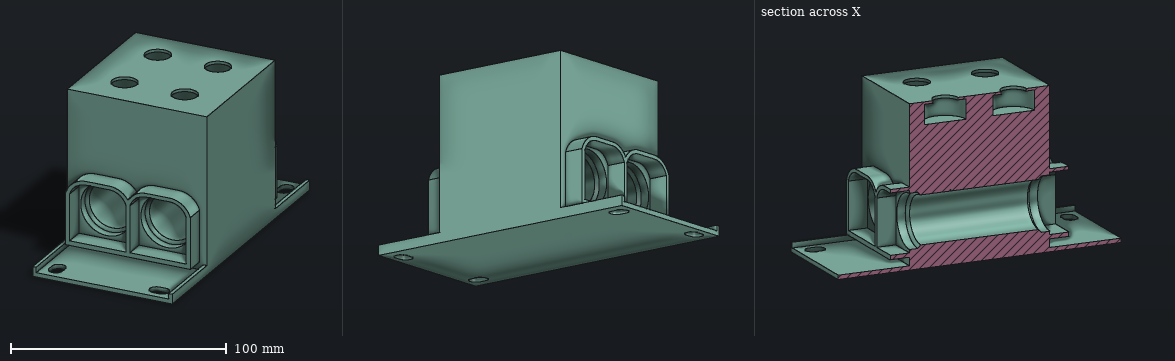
import cadquery as cq
import math

plate_width = 72.0
plate_length = 145.0
floor_thickness = 2.3
rail_width = 1.9
rail_height = 5.1

total_height = 80.5
block_length = plate_width

port_pitch = 31.0
port_axis_height = 23.6
collar_projection = 9.7
collar_width = 33.5
collar_bottom = 6.2
collar_top = 40.3
flat_top_width = 11.9
collar_shoulder_drop = 7.8
pocket_width = 29.0
pocket_bottom = 8.5
pocket_top = 38.4
pocket_shoulder_drop = 6.1

bore_diameter = 23.9
mouth_diameter = 27.0
mouth_depth = 4.4
taper_length = (mouth_diameter - bore_diameter) / 2

screw_hole_diameter = 12.6
lip_thickness = 1.5
chamber_diameter = 21.0
chamber_floor_depth = 11.0
screw_row_spacing = 35.0

slot_length = 9.9
slot_width = 6.8
slot_edge_x = 30.9
slot_edge_y = 68.9

block_end = block_length / 2
collar_end = block_end + collar_projection
port_positions = (-port_pitch / 2, port_pitch / 2)


def hood_prism(center_x, width, bottom, top, shoulder_drop, half_length):
    """Prism along Y: flat bottom, upright sides, flat top with arc shoulders tangent to the top."""
    half = width / 2
    flat = flat_top_width / 2
    run = half - flat
    radius = (run**2 + shoulder_drop**2) / (2 * shoulder_drop)
    mid_angle = math.atan2(shoulder_drop, run)
    mid_x = flat + radius * math.sin(mid_angle)
    mid_z = top - radius * (1 - math.cos(mid_angle))
    return (
        cq.Workplane("XZ")
        .moveTo(center_x - half, bottom)
        .lineTo(center_x + half, bottom)
        .lineTo(center_x + half, top - shoulder_drop)
        .threePointArc((center_x + mid_x, mid_z), (center_x + flat, top))
        .lineTo(center_x - flat, top)
        .threePointArc((center_x - mid_x, mid_z), (center_x - half, top - shoulder_drop))
        .close()
        .extrude(half_length, both=True)
    )


def base_plate():
    channel_width = plate_width - 2 * rail_width
    plate = cq.Workplane("XY").box(plate_width, plate_length, rail_height, centered=(True, True, False))
    channel = (
        cq.Workplane("XY", origin=(0, 0, floor_thickness))
        .rect(channel_width, plate_length)
        .extrude(rail_height)
    )
    return plate.cut(channel)


def collar(center_x):
    return hood_prism(
        center_x, collar_width, collar_bottom, collar_top, collar_shoulder_drop, collar_end
    )


def pockets(center_x):
    """The hollow inside the collars at both ends, stopping at the block faces."""
    hollow = hood_prism(
        center_x, pocket_width, pocket_bottom, pocket_top, pocket_shoulder_drop, collar_end
    )
    core = cq.Workplane("XY").box(plate_width, block_length, total_height, centered=(True, True, False))
    return hollow.cut(core)


def bore(center_x):
    """Through bore with a counterbored and tapered mouth at each end, revolved about its own axis."""
    bore_radius = bore_diameter / 2
    mouth_radius = mouth_diameter / 2
    mouth_end = block_end - mouth_depth
    taper_end = mouth_end - taper_length
    return (
        cq.Workplane("XY", origin=(center_x, 0, port_axis_height))
        .moveTo(0, -block_end)
        .lineTo(mouth_radius, -block_end)
        .lineTo(mouth_radius, -mouth_end)
        .lineTo(bore_radius, -taper_end)
        .lineTo(bore_radius, taper_end)
        .lineTo(mouth_radius, mouth_end)
        .lineTo(mouth_radius, block_end)
        .lineTo(0, block_end)
        .close()
        .revolve(360, (0, 0, 0), (0, 1, 0))
    )


def discs_below(height, diameter, depth):
    """One cylinder per screw position, reaching down from the given height."""
    return (
        cq.Workplane("XY", origin=(0, 0, height))
        .rarray(port_pitch, screw_row_spacing, 2, 2)
        .circle(diameter / 2)
        .extrude(-depth)
    )


def screw_holes():
    openings = discs_below(total_height, screw_hole_diameter, chamber_floor_depth)
    chambers = discs_below(
        total_height - lip_thickness, chamber_diameter, chamber_floor_depth - lip_thickness
    )
    return openings.union(chambers)


def mounting_slot(side_x, side_y):
    """Slots on one diagonal lie along X, those on the other diagonal along Y."""
    along_x = side_x != side_y
    size_x, size_y = (slot_length, slot_width) if along_x else (slot_width, slot_length)
    center = (side_x * (slot_edge_x - size_x / 2), side_y * (slot_edge_y - size_y / 2))
    return (
        cq.Workplane("XY")
        .center(*center)
        .slot2D(slot_length, slot_width, 0 if along_x else 90)
        .extrude(floor_thickness)
    )


block = cq.Workplane("XY").box(plate_width, block_length, total_height, centered=(True, True, False))
result = base_plate().union(block)

for port_x in port_positions:
    result = result.union(collar(port_x))

for port_x in port_positions:
    result = result.cut(pockets(port_x)).cut(bore(port_x))

result = result.cut(screw_holes())

for side_x in (-1, 1):
    for side_y in (-1, 1):
        result = result.cut(mounting_slot(side_x, side_y))